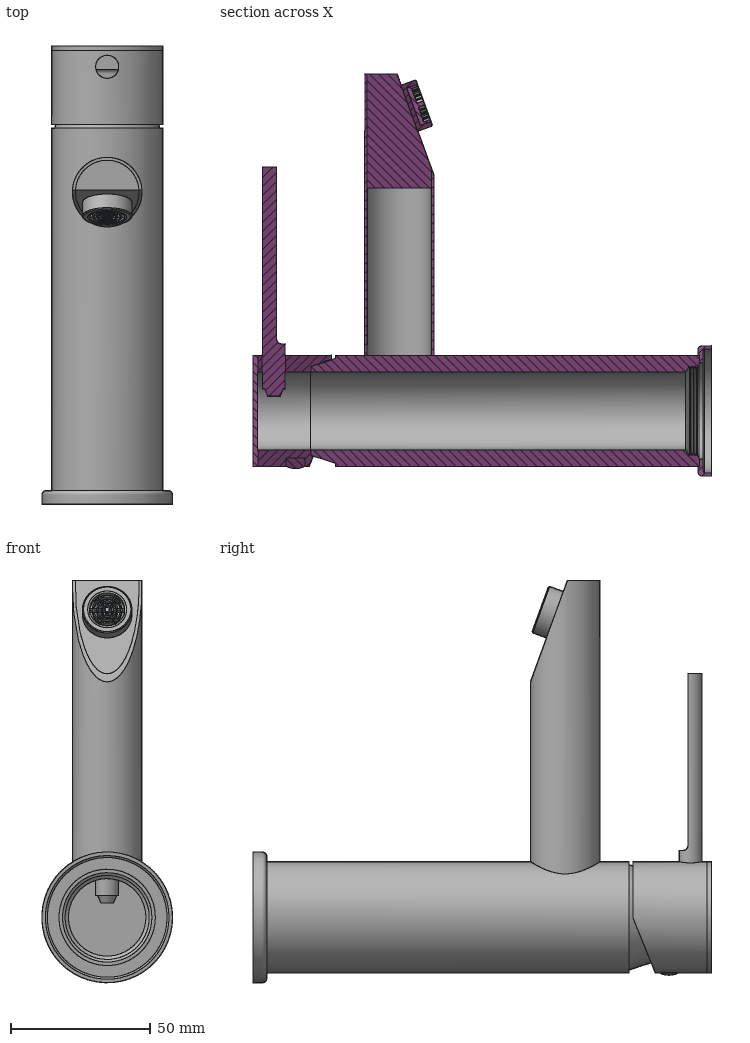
import cadquery as cq
import math

overall_length = 164.7
spout_top = 121.0

flange_radius = 23.5
flange_length = 5.0
flange_edge_radius = 1.6
recess_mouth_radius = 22.2
recess_floor_radius = 21.5
recess_depth = 3.0
recess_chamfer_depth = 0.4
web_thickness = 1.5
inlet_radius = 17.3

barrel_radius = 20.0
barrel_start = recess_depth + web_thickness
barrel_end = 135.1
bore_radius = 13.9
thread_crest_radius = 15.1
thread_root_radius = 16.05
thread_pitch = 1.0
thread_turns = 4
bore_taper_length = 0.8
neck_large_radius = 18.95
neck_small_radius = 16.1
neck_end = 144.0

handle_start = 136.4
cap_length = 1.7
handle_end = overall_length - cap_length
relief_run = 8.1

lever_y = 157.15
lever_radius = 4.15
lever_top = 87.6
lever_flat_offset = 1.0
lever_step_height = 24.1
lever_step_fillet = 1.6
lever_shoulder = 7.9
lever_tip = 5.2
lever_tip_large_radius = 3.45
lever_tip_small_radius = 2.3

button_y = 149.4
button_radius = 3.4
button_depth = 3.0
button_dome_height = 0.8

spout_y = 112.15
spout_radius = 12.5
spout_wall = 1.05
spout_bore_radius = spout_radius - spout_wall
slant_angle = 20.0
slant_top_y = 112.9
plug_bottom = 80.0

aerator_center_z = 108.7
aerator_radius = 8.9
aerator_length = 5.6
aerator_edge = 0.4
aerator_seat_depth = 4.0
core_radius = 7.0
core_hub_radius = 0.8
core_ring_pitch = 1.5
core_ring_width = 0.5
core_ring_count = 4
core_spoke_count = 6
core_spoke_width = 0.5
core_slot_depth = 2.5


def turned(points):
    """Revolve an outline of (radius, Y) points about the Y axis."""
    return cq.Workplane("XY").polyline(points).close().revolve(360, (0, 0, 0), (0, 1, 0))


def cylinder_y(radius, start, end):
    """A cylinder on the Y axis."""
    return cq.Workplane("XZ", origin=(0, start, 0)).circle(radius).extrude(start - end)


def cylinder_z(radius, y, bottom, top):
    """A cylinder along Z, centred at X = 0 and the given Y."""
    return cq.Workplane("XY", origin=(0, y, bottom)).circle(radius).extrude(top - bottom)


def make_flange():
    edge_start = flange_length - flange_edge_radius
    edge_center_radius = flange_radius - flange_edge_radius
    edge_leg = flange_edge_radius * math.sin(math.radians(45))
    edge_middle = (edge_center_radius + edge_leg, edge_start + edge_leg)
    return (
        cq.Workplane("XY")
        .moveTo(recess_mouth_radius, 0)
        .lineTo(flange_radius, 0)
        .lineTo(flange_radius, edge_start)
        .threePointArc(edge_middle, (edge_center_radius, flange_length))
        .lineTo(barrel_radius, flange_length)
        .lineTo(barrel_radius, barrel_start)
        .lineTo(inlet_radius, barrel_start)
        .lineTo(inlet_radius, recess_depth)
        .lineTo(recess_floor_radius, recess_depth)
        .lineTo(recess_mouth_radius, recess_depth - recess_chamfer_depth)
        .close()
        .revolve(360, (0, 0, 0), (0, 1, 0))
    )


def make_barrel():
    points = [(barrel_radius, barrel_start), (barrel_radius, barrel_end), (neck_large_radius, barrel_end)]
    points += [(neck_small_radius, neck_end), (bore_radius, neck_end)]
    thread_end = barrel_start + thread_turns * thread_pitch
    points += [(bore_radius, thread_end + bore_taper_length)]
    for turn in range(thread_turns, 0, -1):
        crest_y = barrel_start + turn * thread_pitch
        points += [(thread_crest_radius, crest_y), (thread_root_radius, crest_y - thread_pitch / 2)]
    points += [(thread_root_radius, barrel_start)]
    return turned(points)


def make_cap():
    return cylinder_y(barrel_radius, handle_end, overall_length)


def make_lever():
    rod = cylinder_z(lever_radius, lever_y, lever_shoulder, lever_top)
    flat_y = lever_y - lever_flat_offset
    front_y = lever_y - 2 * lever_radius
    fillet_y = flat_y - lever_step_fillet
    fillet_z = lever_step_height + lever_step_fillet
    fillet_leg = lever_step_fillet * math.sin(math.radians(45))
    flat = (
        cq.Workplane("YZ", origin=(-lever_radius, 0, 0))
        .moveTo(front_y, lever_top)
        .lineTo(flat_y, lever_top)
        .lineTo(flat_y, fillet_z)
        .threePointArc((fillet_y + fillet_leg, fillet_z - fillet_leg), (fillet_y, lever_step_height))
        .lineTo(front_y, lever_step_height)
        .close()
        .extrude(2 * lever_radius)
    )
    tip = (
        cq.Workplane("XY", origin=(0, lever_y, lever_tip))
        .circle(lever_tip_small_radius)
        .workplane(offset=lever_shoulder - lever_tip)
        .circle(lever_tip_large_radius)
        .loft()
    )
    return rod.cut(flat).union(tip)


def make_button():
    sphere_radius = (button_radius**2 + button_dome_height**2) / (2 * button_dome_height)
    dome_bottom = -barrel_radius - button_dome_height
    ball = cq.Workplane("XY", origin=(0, button_y, dome_bottom + sphere_radius)).sphere(sphere_radius)
    blank = cylinder_z(button_radius, button_y, dome_bottom, button_depth - barrel_radius)
    return blank.intersect(ball)


def make_handle(button):
    sleeve = cylinder_y(barrel_radius, handle_start, handle_end).cut(
        cylinder_y(bore_radius, handle_start, handle_end)
    )
    neck_seat = turned(
        [(0, barrel_end), (neck_large_radius, barrel_end), (neck_small_radius, neck_end), (0, neck_end)]
    )
    relief = (
        cq.Workplane("YZ", origin=(-barrel_radius, 0, 0))
        .moveTo(handle_start, 0)
        .lineTo(handle_start + relief_run, -barrel_radius)
        .lineTo(handle_start, -barrel_radius)
        .close()
        .extrude(2 * barrel_radius)
    )
    lever_hole = cylinder_z(lever_radius, lever_y, 0, barrel_radius)
    return sleeve.cut(neck_seat).cut(relief).cut(lever_hole).cut(button)


def cut_slant(shape):
    """Cut away what lies in front of the slanted spout face."""
    slant_run = 2 * spout_radius
    slant_drop = slant_run / math.tan(math.radians(slant_angle))
    front_y = slant_top_y - slant_run
    waste = (
        cq.Workplane("YZ", origin=(-spout_radius, 0, 0))
        .polyline([(slant_top_y, spout_top), (front_y, spout_top), (front_y, spout_top - slant_drop)])
        .close()
        .extrude(2 * spout_radius)
    )
    return shape.cut(waste)


def make_spout_plug():
    return cut_slant(cylinder_z(spout_bore_radius, spout_y, plug_bottom, spout_top))


def make_spout_tube():
    tube = cylinder_z(spout_radius, spout_y, 0, spout_top)
    tube = tube.cut(cylinder_z(spout_bore_radius, spout_y, 0, spout_top))
    return cut_slant(tube).cut(cylinder_y(barrel_radius, barrel_start, barrel_end))


def aerator_plane(height):
    """A plane parallel to the slanted face, at a height above it, centred on the aerator."""
    angle = math.radians(slant_angle)
    outward = cq.Vector(0, -math.cos(angle), math.sin(angle))
    center_y = slant_top_y - (spout_top - aerator_center_z) * math.tan(angle)
    center = cq.Vector(0, center_y, aerator_center_z) + outward * height
    return cq.Workplane(cq.Plane(origin=center, xDir=(1, 0, 0), normal=outward))


def make_aerator_housing():
    shell = aerator_plane(0).circle(aerator_radius).extrude(aerator_length)
    shell = shell.faces(cq.DirectionMinMaxSelector(aerator_plane(0).plane.zDir, True)).chamfer(aerator_edge)
    seat = aerator_plane(aerator_length - aerator_seat_depth).circle(core_radius).extrude(aerator_seat_depth)
    return shell.cut(seat)


def make_aerator_core():
    core = aerator_plane(aerator_length - aerator_seat_depth).circle(core_radius).extrude(aerator_seat_depth)
    slot_floor = aerator_plane(aerator_length - core_slot_depth)
    spokes = slot_floor.rect(2 * core_radius, core_spoke_width).extrude(core_slot_depth)
    for spoke in range(1, core_spoke_count // 2):
        bar = slot_floor.transformed(rotate=(0, 0, spoke * 360 / core_spoke_count))
        spokes = spokes.union(bar.rect(2 * core_radius, core_spoke_width).extrude(core_slot_depth))
    for ring in range(core_ring_count):
        inner = core_hub_radius + ring * core_ring_pitch
        outer = inner + core_ring_pitch - core_ring_width
        slot = slot_floor.circle(outer).circle(inner).extrude(core_slot_depth)
        core = core.cut(slot.cut(spokes))
    return core


flange = make_flange()
barrel = make_barrel()
cap = make_cap()
lever = make_lever()
button = make_button()
handle = make_handle(button)
spout_tube = make_spout_tube()
spout_plug = make_spout_plug()
aerator_housing = make_aerator_housing()
aerator_core = make_aerator_core()

bodies = [flange, barrel, handle, cap, lever, button, spout_tube, spout_plug, aerator_housing, aerator_core]
result = cq.Compound.makeCompound([body.val() for body in bodies])